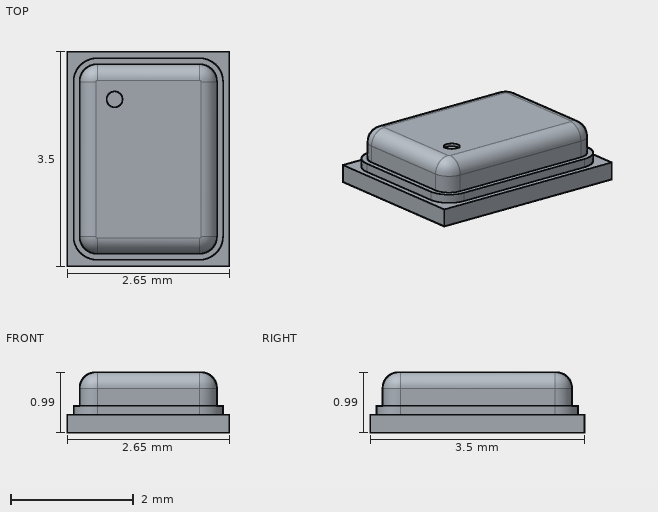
import cadquery as cq

board_length = 3.5
board_width = 2.65
board_thickness = 0.298

flange_margin = 0.105
flange_thickness = 0.145
flange_corner_radius = 0.385
flange_step = 0.098
lid_corner_radius = flange_corner_radius - flange_step
lid_edge_radius = 0.262
total_height = 0.99

marker_diameter = 0.26
marker_depth = 0.05
marker_x = -0.55
marker_y = 0.973


def centred_slab(margin, base_z, height):
    """Slab centred on the board, inset from its sides by the margin."""
    return (
        cq.Workplane("XY")
        .workplane(offset=base_z)
        .rect(board_width - 2 * margin, board_length - 2 * margin)
        .extrude(height)
    )


flange_base = board_thickness
lid_base = flange_base + flange_thickness
lid_height = total_height - lid_base

board = centred_slab(0, 0, board_thickness)

flange = (
    centred_slab(flange_margin, flange_base, flange_thickness)
    .edges("|Z")
    .fillet(flange_corner_radius)
)

lid = (
    centred_slab(flange_margin + flange_step, lid_base, lid_height)
    .edges("|Z")
    .fillet(lid_corner_radius)
    .faces(">Z")
    .edges()
    .fillet(lid_edge_radius)
)

marker = (
    cq.Workplane("XY")
    .workplane(offset=total_height - marker_depth)
    .center(marker_x, marker_y)
    .circle(marker_diameter / 2)
    .extrude(marker_depth)
)

result = board.union(flange).union(lid).cut(marker)